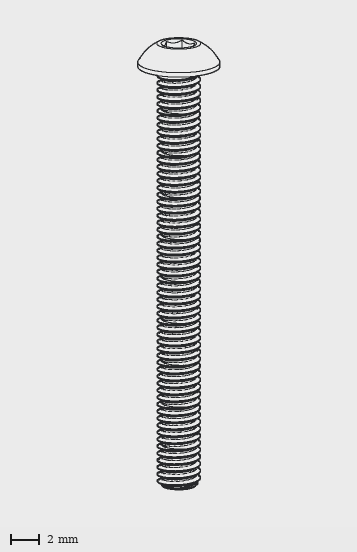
import cadquery as cq
import math

total_length = 31.65
head_height = 1.65
head_diameter = 5.7
rim_height = 0.32
head_flat_diameter = 3.05
dome_bulge = 0.142

socket_across_flats = 2.0
socket_depth = 1.17
socket_mouth_diameter = 2.45

thread_diameter = 3.0
root_diameter = 2.4
tip_chamfer = 0.35
first_crest_drop = 0.3
turns_per_section = 6
section_count = 10
flank_steps = 8
tip_margin = 0.32

shank_length = total_length - head_height
section_length = shank_length / section_count
thread_pitch = section_length / turns_per_section
crest_flat = thread_pitch / 8
root_flat = thread_pitch / 4
thread_radius = thread_diameter / 2
root_radius = root_diameter / 2


def make_head():
    """Revolved button head with a straight rim and a gently domed flank."""
    rim_radius = head_diameter / 2
    flat_radius = head_flat_diameter / 2
    rim_top = shank_length + rim_height
    flank_run = rim_radius - flat_radius
    flank_rise = head_height - rim_height
    flank_length = math.hypot(flank_run, flank_rise)
    dome_point = (
        (rim_radius + flat_radius) / 2 + dome_bulge * flank_rise / flank_length,
        (rim_top + total_length) / 2 + dome_bulge * flank_run / flank_length,
    )
    return (
        cq.Workplane("YZ")
        .moveTo(0, shank_length)
        .lineTo(rim_radius, shank_length)
        .lineTo(rim_radius, rim_top)
        .threePointArc(dome_point, (flat_radius, total_length))
        .lineTo(0, total_length)
        .close()
        .revolve(360, (0, 0), (0, 1))
    )


def make_socket():
    """Hexagonal socket with corners on the Y axis and a countersunk mouth."""
    across_corners = socket_across_flats / math.cos(math.pi / 6)
    hexagon = (
        cq.Workplane("XY", origin=(0, 0, total_length - socket_depth))
        .transformed(rotate=(0, 0, 90))
        .polygon(6, across_corners)
        .extrude(socket_depth)
    )
    mouth_radius = socket_mouth_diameter / 2
    mouth_depth = mouth_radius - socket_across_flats / 2
    mouth = (
        cq.Workplane("XY", origin=(0, 0, total_length))
        .circle(mouth_radius)
        .extrude(-mouth_depth, taper=45)
    )
    return hexagon.union(mouth)


def polar_point(radius, angle):
    return (radius * math.cos(angle), radius * math.sin(angle))


def flank_points(start_radius, end_radius, start_angle, end_angle):
    """Points on a thread flank, whose radius changes evenly with angle, after its start point."""
    points = []
    for step in range(1, flank_steps + 1):
        share = step / flank_steps
        radius = start_radius + share * (end_radius - start_radius)
        angle = start_angle + share * (end_angle - start_angle)
        points.append(polar_point(radius, angle))
    return points


def make_thread_section():
    """Whole turns of right-hand thread: the thread's flat cross-section twisted along Z."""
    angle_per_length = 2 * math.pi / thread_pitch
    crest_angle = crest_flat * angle_per_length
    root_angle = root_flat * angle_per_length
    flank_angle = (2 * math.pi - crest_angle - root_angle) / 2

    crest_middle = math.pi + first_crest_drop * angle_per_length
    crest_start = crest_middle - crest_angle / 2
    crest_end = crest_middle + crest_angle / 2
    root_start = crest_end + flank_angle
    root_middle = root_start + root_angle / 2
    root_end = root_start + root_angle
    next_crest = root_end + flank_angle

    return (
        cq.Workplane("XY")
        .moveTo(*polar_point(thread_radius, crest_start))
        .threePointArc(polar_point(thread_radius, crest_middle), polar_point(thread_radius, crest_end))
        .spline(flank_points(thread_radius, root_radius, crest_end, root_start), includeCurrent=True)
        .threePointArc(polar_point(root_radius, root_middle), polar_point(root_radius, root_end))
        .spline(flank_points(root_radius, thread_radius, root_end, next_crest), includeCurrent=True)
        .close()
        .twistExtrude(section_length, 360 * turns_per_section)
    )


def make_tip_envelope():
    """Chamfered outline of the tip, wider than the thread so that only its cone and end cut."""
    return (
        cq.Workplane("XY")
        .circle(thread_radius + tip_margin)
        .extrude(section_length + tip_margin)
        .faces("<Z")
        .chamfer(tip_chamfer + tip_margin)
    )


def make_shank_pieces():
    """Equal threaded sections, from the chamfered tip up to the head."""
    section = make_thread_section()
    tip = section.intersect(make_tip_envelope())
    upper_sections = [
        section.translate((0, 0, number * section_length)).val()
        for number in range(1, section_count)
    ]
    return [tip.val()] + upper_sections


head = make_head().cut(make_socket())
screw = head.val().fuse(*make_shank_pieces(), glue=True)
result = cq.Workplane(screw.Solids()[0])